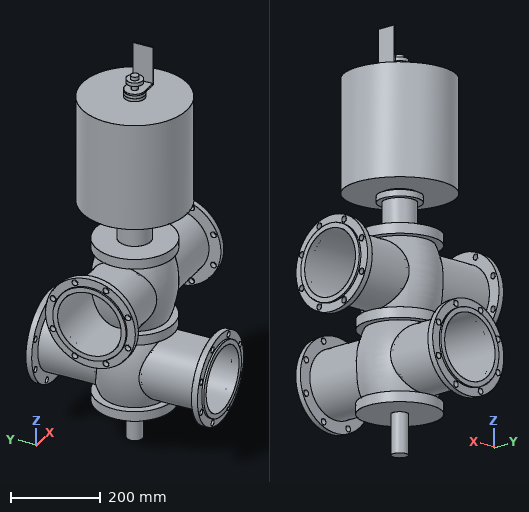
import cadquery as cq
drain_stem_length = 95.6
chamber_half_height = 85.4
barrel_waist_diameter = 196.5
barrel_end_diameter = 160.0
chamber_flange_diameter = barrel_waist_diameter
chamber_flange_thickness = 24.8
port_level_spacing = 2 * chamber_half_height + chamber_flange_thickness
lower_port_level = drain_stem_length + chamber_flange_thickness + chamber_half_height
upper_port_level = lower_port_level + port_level_spacing
chamber_stack_top = upper_port_level + chamber_half_height + chamber_flange_thickness

port_reach = 220.0
port_outer_diameter = 165.2
port_bore_diameter = 159.2
port_flange_diameter = 225.0
port_flange_thickness = 15.0
raised_face_diameter = 183.3
raised_face_height = 5.0
bolt_count = 8
bolt_hole_diameter = 14.0
bolt_circle_diameter = 203.0

drain_stem_diameter = 40.0
neck_diameter = 80.0
collar_diameter = 105.0
collar_bottom = 587.0
collar_top = 602.0
actuator_diameter = 263.5
actuator_bottom = 608.0
actuator_top = 875.0

boss_diameter = 50.0
boss_height = 7.5
boss_top = actuator_top + boss_height
hub_diameter = 34.0
ring_height = 7.5
plate_bottom = boss_top + ring_height
plate_thickness = 4.0
plate_top = plate_bottom + plate_thickness
plate_reach = 43.0
total_height = 986.5
rod_diameter = 16.0
knob_diameter = 40.0
knob_bottom = 911.0
knob_top = 920.0
cap_diameter = 19.5
cap_top = 929.0


def cylinder(diameter, bottom, top):
    """Upright cylinder on the main axis between two levels."""
    return cq.Workplane("XY").workplane(offset=bottom).circle(diameter / 2).extrude(top - bottom)


def barrel(level):
    """Solid chamber with a bulging, arc-shaped side."""
    end_radius = barrel_end_diameter / 2
    return (
        cq.Workplane("XZ")
        .moveTo(0, level - chamber_half_height)
        .lineTo(end_radius, level - chamber_half_height)
        .threePointArc((barrel_waist_diameter / 2, level), (end_radius, level + chamber_half_height))
        .lineTo(0, level + chamber_half_height)
        .close()
        .revolve(360, (0, 0, 0), (0, 1, 0))
    )


def port(chamber, level, heading):
    """Tube with a bolted flange that leaves the chamber at the given heading from +X, in degrees.

    The bore stops at the wall of the chamber.
    """
    flange_face = port_reach - raised_face_height
    flange_back = flange_face - port_flange_thickness
    tube = cq.Workplane("YZ").circle(port_outer_diameter / 2).extrude(port_reach)
    flange = (
        cq.Workplane("YZ").workplane(offset=flange_back)
        .circle(port_flange_diameter / 2).extrude(port_flange_thickness)
    )
    raised_face = (
        cq.Workplane("YZ").workplane(offset=flange_face)
        .circle(raised_face_diameter / 2).extrude(raised_face_height)
    )
    bolt_holes = (
        cq.Workplane("YZ").workplane(offset=flange_back)
        .polarArray(bolt_circle_diameter / 2, 180 / bolt_count, 360, bolt_count)
        .circle(bolt_hole_diameter / 2).extrude(port_flange_thickness)
    )
    bore = cq.Workplane("YZ").circle(port_bore_diameter / 2).extrude(port_reach)
    pipe = tube.union(flange).union(raised_face).cut(bolt_holes).cut(bore)
    return pipe.rotate((0, 0, 0), (0, 0, 1), heading).translate((0, 0, level)).cut(chamber)


def angle_plate():
    """Flat foot with one round end, bent up into a tall flag at the other end."""
    half_width = boss_diameter / 2
    foot = (
        cq.Workplane("XY").workplane(offset=plate_bottom)
        .moveTo(0, half_width)
        .threePointArc((-half_width, 0), (0, -half_width))
        .lineTo(plate_reach, -half_width)
        .lineTo(plate_reach, half_width)
        .close()
        .extrude(plate_thickness)
    )
    flag = (
        cq.Workplane("XY")
        .box(plate_thickness, boss_diameter, total_height - plate_bottom, centered=(False, True, False))
        .translate((plate_reach - plate_thickness, 0, plate_bottom))
    )
    return foot.union(flag)


def top_end():
    """Boss and hub below the angle plate, and the rod with its knob and cap above it."""
    end = cylinder(boss_diameter, actuator_top, boss_top)
    end = end.union(cylinder(hub_diameter, boss_top, plate_bottom)).union(angle_plate())
    end = end.union(cylinder(rod_diameter, plate_top, knob_bottom))
    end = end.union(cylinder(knob_diameter, knob_bottom, knob_top))
    return end.union(cylinder(cap_diameter, knob_top, cap_top))


def build_valve():
    """Two stacked chambers with their ports, the drain stem, the actuator and its top end."""
    valve = cylinder(drain_stem_diameter, 0, drain_stem_length)
    for level, headings in ((lower_port_level, (90, 270)), (upper_port_level, (0, 180))):
        chamber = barrel(level)
        valve = valve.union(chamber)
        for heading in headings:
            valve = valve.union(port(chamber, level, heading))
    for index in range(3):
        bottom = drain_stem_length + index * port_level_spacing
        valve = valve.union(cylinder(chamber_flange_diameter, bottom, bottom + chamber_flange_thickness))

    valve = valve.union(cylinder(neck_diameter, chamber_stack_top, actuator_bottom))
    valve = valve.union(cylinder(collar_diameter, collar_bottom, collar_top))
    valve = valve.union(cylinder(actuator_diameter, actuator_bottom, actuator_top))
    return valve.union(top_end())


def build_ring():
    """Ring around the hub, between the boss and the angle plate."""
    return cylinder(boss_diameter, boss_top, plate_bottom).cut(cylinder(hub_diameter, boss_top, plate_bottom))


valve = build_valve()
ring = build_ring()
result = cq.Compound.makeCompound([*valve.solids().vals(), *ring.solids().vals()])